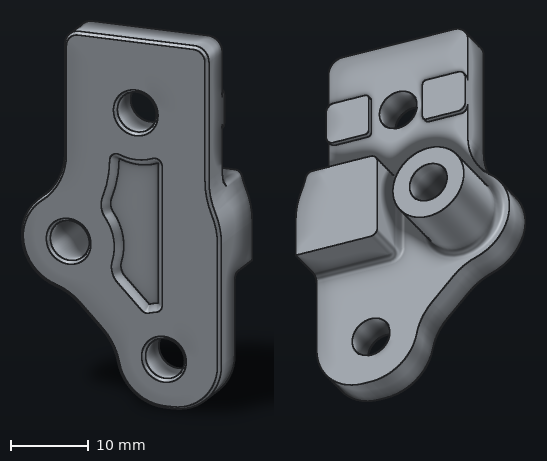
import cadquery as cq
import math

lower_hole = (0.0, 0.0)
left_hole = (-13.25, 14.4)
upper_hole = (-3.9, 32.9)

plate_thickness = 5.0
lobe_radius = 6.7
blend_radius = 8.0
head_width = 20.05
head_top = 42.9
head_corner_radius = 2.0
head_left = upper_hole[0] - head_width / 2
head_right = upper_hole[0] + head_width / 2
side_x = 7.85
side_top = 16.4
shoulder_height = 8.4
slope_offset = 4.15
edge_chamfer = 0.4

hole_diameter = 5.4
boss_diameter = 10.2
total_depth = 15.0
base_fillet = 1.0
block_depth = 11.05
block_left = upper_hole[0]
block_top = 23.05
block_height = 12.0
block_corner_radius = 1.0
pad_height = 0.75
pad_width = 6.15
pad_length = 5.85
pad_outer_radius = 1.05
pad_inner_radius = 0.55

pocket_web = 6.4
pocket_hole_web = 6.35
pocket_right = -0.25
pocket_depth = 0.95
pocket_corner_radius = 1.0
pocket_wide_radius = 2.95

diagonal = math.sqrt(0.5)
outward = (-diagonal, -diagonal)
downhill = (diagonal, -diagonal)


def shifted(point, direction, distance):
    return (point[0] + direction[0] * distance, point[1] + direction[1] * distance)


def toward(start, end, distance):
    """Point at the given distance from start on the line to end."""
    length = math.dist(start, end)
    return shifted(start, ((end[0] - start[0]) / length, (end[1] - start[1]) / length), distance)


def arc_middle(center, start, end):
    """Middle of the minor arc from start to end."""
    chord_middle = ((start[0] + end[0]) / 2, (start[1] + end[1]) / 2)
    return toward(center, chord_middle, math.dist(center, start))


def prism(outline, depth):
    """Extrude an XZ outline from Y = 0 toward +Y."""
    return outline.extrude(-depth)


def xz_plane(y=0):
    return cq.Workplane("XZ", origin=(0, y, 0))


def cylinder(center, radius, depth):
    return prism(xz_plane().center(*center).circle(radius), depth)


neck_x = head_left - blend_radius
neck_rise = math.sqrt((lobe_radius + blend_radius) ** 2 - (neck_x - left_hole[0]) ** 2)
neck_center = (neck_x, left_hole[1] + neck_rise)


def slope_blend(lobe, direction):
    """Center, lobe tangent point and edge tangent point of a blend at the sloped edge."""
    edge_point = shifted(lower_hole, outward, slope_offset)
    inset = (edge_point[0] - lobe[0]) * outward[0] + (edge_point[1] - lobe[1]) * outward[1]
    run = math.sqrt((lobe_radius + blend_radius) ** 2 - (inset + blend_radius) ** 2)
    edge_tangent = shifted(shifted(lobe, outward, inset), downhill, direction * run)
    center = shifted(edge_tangent, outward, blend_radius)
    return center, toward(lobe, center, lobe_radius), edge_tangent


def plate_solid(depth):
    neck_start = (head_left, neck_center[1])
    neck_end = toward(neck_center, left_hole, blend_radius)
    upper_blend, left_lobe_end, slope_start = slope_blend(left_hole, 1)
    lower_blend, lower_lobe_start, slope_end = slope_blend(lower_hole, -1)
    bottom = (lower_hole[0], lower_hole[1] - lobe_radius)
    right_center = (side_x - lobe_radius, lower_hole[1])
    bottom_right = (right_center[0], bottom[1])
    side_bottom = (side_x, right_center[1])
    shoulder_middle = ((side_x + head_right) / 2, side_top + shoulder_height / 2)
    outline = (
        xz_plane()
        .moveTo(head_left, head_top)
        .lineTo(*neck_start)
        .threePointArc(arc_middle(neck_center, neck_start, neck_end), neck_end)
        .threePointArc((left_hole[0] - lobe_radius, left_hole[1]), left_lobe_end)
        .threePointArc(arc_middle(upper_blend, left_lobe_end, slope_start), slope_start)
        .lineTo(*slope_end)
        .threePointArc(arc_middle(lower_blend, slope_end, lower_lobe_start), lower_lobe_start)
        .threePointArc(arc_middle(lower_hole, lower_lobe_start, bottom), bottom)
        .lineTo(*bottom_right)
        .threePointArc(arc_middle(right_center, bottom_right, side_bottom), side_bottom)
        .lineTo(side_x, side_top)
        .tangentArcPoint(shoulder_middle, relative=False)
        .tangentArcPoint((head_right, side_top + shoulder_height), relative=False)
        .lineTo(head_right, head_top)
        .close()
    )
    return prism(outline, depth).edges("|Y and >Z").fillet(head_corner_radius)


def pocket():
    """Recess whose walls follow the plate edges and holes and slope in to its floor."""
    slope_point = shifted(lower_hole, outward, slope_offset - pocket_web)
    slope_level = slope_point[0] + slope_point[1]
    top = upper_hole[1]
    left = left_hole[0]
    outline = (
        xz_plane()
        .moveTo(pocket_right, top)
        .lineTo(left, top)
        .lineTo(left, slope_level - left)
        .lineTo(pocket_right, slope_level - pocket_right)
        .close()
    )
    cutter_depth = 2 * pocket_depth
    body = prism(outline, cutter_depth)
    for hole in (upper_hole, left_hole, lower_hole):
        body = body.cut(cylinder(hole, pocket_hole_web, cutter_depth))
    body = body.cut(cylinder(neck_center, blend_radius + pocket_web, cutter_depth))
    body = cq.Workplane(body.solids(">X").val())
    wide_corners = ">>X[0] or >>X[1]"
    body = body.edges("|Y").edges(f"not ({wide_corners})").fillet(pocket_corner_radius)
    body = body.edges("|Y").edges(wide_corners).fillet(pocket_wide_radius)
    body = body.faces(">Y").chamfer(pocket_depth)
    return body.translate((0, pocket_depth - cutter_depth, 0))


def block():
    """Rear block that follows the plate's right side."""
    height = block_depth - plate_thickness
    center = ((block_left + side_x) / 2, block_top - block_height / 2)
    body = prism(xz_plane().center(*center).rect(side_x - block_left, block_height), height)
    body = body.intersect(plate_solid(height))
    body = body.edges("|Y").edges("<X or >Z").fillet(block_corner_radius)
    return body.translate((0, plate_thickness, 0))


def with_boss(body):
    """Add the round boss behind the left hole, with a concave fillet at its foot."""
    radius = boss_diameter / 2
    body = body.union(cylinder(left_hole, radius, total_depth))
    return body.edges(foot_selector(left_hole, edge_chamfer)).fillet(base_fillet)


def with_block(body):
    """Add the rear block, with a concave fillet along its foot except on the flush side."""
    body = body.union(block())
    flush_margin = 2 * block_corner_radius
    half_height = block_height / 2
    zone_center = (block_left + half_height - flush_margin, block_top - half_height)
    return body.edges(foot_selector(zone_center, half_height + edge_chamfer)).fillet(base_fillet)


def foot_selector(center, reach):
    """Edges on the plate's rear face centered within a square around a rear feature."""
    return cq.selectors.BoxSelector(
        (center[0] - reach, plate_thickness - edge_chamfer, center[1] - reach),
        (center[0] + reach, plate_thickness + edge_chamfer, center[1] + reach),
    )


def pad(side):
    """Low rear pad flush with one side of the head, level with the upper hole."""
    center_x = upper_hole[0] + side * (head_width - pad_width) / 2
    outer, inner = (">X", "<X") if side > 0 else ("<X", ">X")
    body = prism(
        xz_plane(plate_thickness).center(center_x, upper_hole[1]).rect(pad_width, pad_length),
        pad_height,
    )
    body = body.edges("|Y").edges(outer).fillet(pad_outer_radius)
    return body.edges("|Y").edges(inner).fillet(pad_inner_radius)


def hole_cutter(center):
    """Through hole with a chamfered rim at the front face."""
    radius = hole_diameter / 2
    rim = xz_plane().center(*center).circle(radius + edge_chamfer)
    cone = rim.workplane(offset=-edge_chamfer).circle(radius).loft()
    return cylinder(center, radius, total_depth).union(cone)


result = plate_solid(plate_thickness).faces("<Y").chamfer(edge_chamfer)
result = with_boss(result)
result = with_block(result)
for pad_side in (-1, 1):
    result = result.union(pad(pad_side))
result = result.cut(pocket())
for hole in (lower_hole, left_hole, upper_hole):
    result = result.cut(hole_cutter(hole))